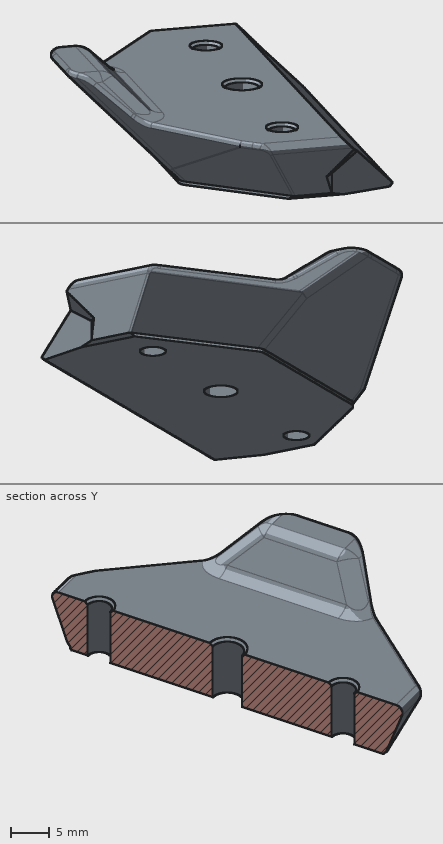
import cadquery as cq
import math

shelf_height = 8.55
tab_height = 13.85
tab_rise = tab_height - shelf_height
lip_height = 0.5
reach = 159.6

back_tip_y = 19.605
front_foot_y = -6.55

side_foot_x = 23.95
side_lean = math.radians(20)

tip_half_width = 4.2
diagonal_direction = cq.Vector(1, 0.835, 0)
tab_edge_direction = cq.Vector(0.81, 1, -1)

left_wall = ((-24.1, 4.8, 0.5), (-10.0, -7.1, 0.5), (-9.2, -14.1, 7.25))
right_wall = ((13.7, -8.5, 1.95), (13.7, -7.0, 0.5), (24.45, -1.55, 8.0))

tab_base_half = 12.0
tab_base_back_y = -9.35
tab_blend_radius = 3.0

front_corner_radius = 2.0
small_radius = 0.5
front_rim_radius = 0.55
side_rim_radius = 1.0

holes = ((-17.55, 3.4), (0.0, 4.4), (19.45, 3.4))
hole_y = 5.2
hole_chamfer = 0.4

relief_x = 24.1
relief_y = 10.7
relief_taper = 0.25
relief_roof_z = 3.2
relief_roof_normal = (0.7, 0.8, -0.94)
relief_length = 15.95


def half_space(point, normal):
    """Oversized block filling the side of a plane that its normal points to."""
    plane = cq.Plane(origin=point, normal=normal)
    return cq.Workplane(plane).rect(reach, reach).extrude(reach)


def facing_front(normal):
    """The normal, reversed if needed so that it points toward -Y."""
    return normal if normal.y < 0 else normal * -1


def beyond_wall(a, b, c):
    """Space in front of the wall through three points."""
    start = cq.Vector(*a)
    normal = (cq.Vector(*b) - start).cross(cq.Vector(*c) - start)
    return half_space(a, facing_front(normal).toTuple())


def blended_slab():
    """Shelf slab with rounded side rims and the raised tab blended onto it."""
    flare = shelf_height * math.tan(side_lean)
    slab = (
        cq.Workplane("XZ")
        .polyline([
            (-side_foot_x, 0),
            (side_foot_x, 0),
            (side_foot_x + flare, shelf_height),
            (-side_foot_x - flare, shelf_height),
        ])
        .close()
        .extrude(reach / 4, both=True)
        .faces(">Z").edges("|Y").fillet(side_rim_radius)
    )
    tab_top_half = tab_base_half - tab_rise
    tab = (
        cq.Workplane("XZ", origin=(0, tab_base_back_y, 0))
        .polyline([
            (-tab_base_half, shelf_height),
            (tab_base_half, shelf_height),
            (tab_top_half, tab_height),
            (-tab_top_half, tab_height),
        ])
        .close()
        .extrude(reach / 5)
        .cut(half_space((0, tab_base_back_y, shelf_height), (0, 1, 1)))
    )
    body = slab.union(tab)
    tab_edges = []
    for edge in body.edges().vals():
        box = edge.BoundingBox()
        on_tab = max(box.xmax, -box.xmin) < tab_base_half + 0.55 and box.zmin > shelf_height - 0.05
        if on_tab and box.ymax > tab_base_back_y - tab_rise - 0.55:
            tab_edges.append(edge)
    return body.newObject(tab_edges).fillet(tab_blend_radius)


def cut_front_walls(body):
    """Front face, upper and lower diagonal walls, all ending at the lip."""
    body = body.cut(half_space((0, front_foot_y, 0), (0, -1, -1)))
    tip_y = front_foot_y - tab_height
    normal = facing_front(diagonal_direction.cross(tab_edge_direction))
    for side in (-1, 1):
        tip = (side * tip_half_width, tip_y, tab_height)
        body = body.cut(half_space(tip, (side * normal.x, normal.y, normal.z)))
    body = body.cut(beyond_wall(*left_wall)).cut(beyond_wall(*right_wall))
    return body.cut(half_space((0, 0, lip_height), (0, 0, -1)))


def is_steep_line(edge):
    rise = abs(edge.startPoint().z - edge.endPoint().z)
    return edge.geomType() == "LINE" and rise > 0.8


def is_front_corner(edge):
    """Edge between the front face and a diagonal wall."""
    ends = (edge.startPoint(), edge.endPoint())
    return is_steep_line(edge) and all(abs(p.y + p.z - front_foot_y) < 0.025 for p in ends)


def is_side_corner(edge):
    """Edge between a side wall and a diagonal wall."""
    ends = (edge.startPoint(), edge.endPoint())
    return is_steep_line(edge) and all(abs(p.x) > side_foot_x - 0.55 and abs(p.y) < relief_y for p in ends)


def is_right_break(edge):
    """Edge between the upper and lower diagonal walls on the right."""
    low, high = sorted((edge.startPoint(), edge.endPoint()), key=lambda p: p.z)
    return is_steep_line(edge) and low.x > tip_half_width and high.x > low.x and low.y < high.y


def round_edges(body, test, radius):
    return body.newObject([e for e in body.edges().vals() if test(e)]).fillet(radius)


def round_rim(body):
    """Round where the upper surfaces meet the overhanging front walls."""
    faces = body.faces().vals()
    rim = []
    for edge in body.edges().vals():
        middle = edge.positionAt(0.5)
        tilts = [f.normalAt(middle).z for f in faces if any(edge.isSame(e) for e in f.Edges())]
        if middle.y < relief_y and middle.z > shelf_height - 2.65 and max(tilts) > 0.05 and min(tilts) < 0:
            rim.append(edge)
    return body.newObject(rim).fillet(front_rim_radius)


def add_lip(body):
    """Straight lip under the body, bevelled at the sides and back."""
    lip = body.faces("<Z").wires().toPending().workplane().extrude(lip_height, combine=False)
    body = body.union(lip)
    lip_half = side_foot_x + lip_height * math.tan(side_lean)
    for side in (-1, 1):
        body = body.cut(half_space((side * lip_half, 0, lip_height), (side, 0, -1)))
    back_tip = (0, back_tip_y, lip_height)
    return body.cut(half_space(back_tip, (0, 1, 1))).cut(half_space(back_tip, (0, 1, -1)))


def corner_relief(side):
    """Pocket under a sloping roof, behind the side wall at the back."""
    far_y = relief_y + relief_length
    outline = [
        (side * relief_x, relief_y),
        (side * (relief_x - relief_taper * relief_length), far_y),
        (side * (relief_x + relief_length), far_y),
        (side * (relief_x + relief_length), relief_y - relief_length),
    ]
    nx, ny, nz = relief_roof_normal
    roof = half_space((side * relief_x, relief_y, relief_roof_z), (-side * nx, -ny, -nz))
    return cq.Workplane("XY").polyline(outline).close().extrude(tab_height).cut(roof)


def chamfered_hole(x, diameter):
    radius = diameter / 2
    profile = [
        (0, 0),
        (radius, 0),
        (radius, shelf_height - hole_chamfer),
        (radius + hole_chamfer, shelf_height),
        (0, shelf_height),
    ]
    tool = cq.Workplane("XZ").polyline(profile).close().revolve(360, (0, 0), (0, 1))
    return tool.translate((x, hole_y, 0))


body = cut_front_walls(blended_slab())
body = round_edges(body, is_front_corner, front_corner_radius)
body = round_edges(body, is_right_break, small_radius)
body = round_rim(body)
body = round_edges(body, is_side_corner, small_radius)
body = add_lip(body)
for side in (-1, 1):
    body = body.cut(corner_relief(side))
for x, diameter in holes:
    body = body.cut(chamfered_hole(x, diameter))
result = body